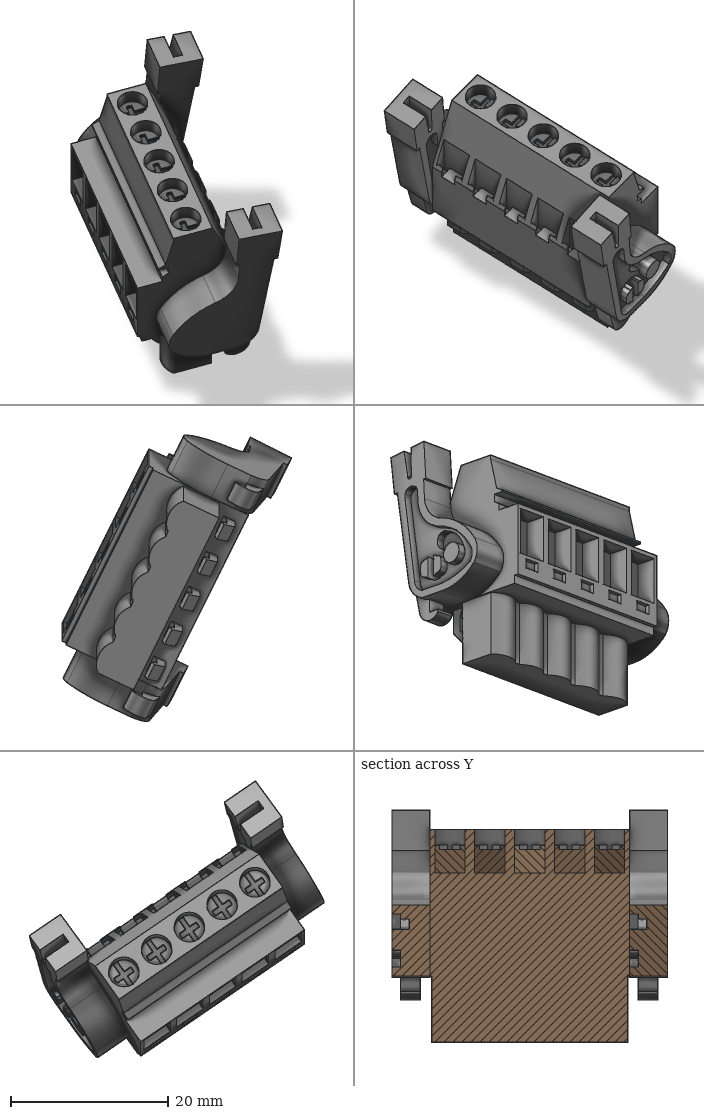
import cadquery as cq


overall_length = 35.1
lever_thickness = 4.85
pole_count = 5
housing_length = overall_length - 2 * lever_thickness
pitch = housing_length / pole_count
pole_positions = [(i - (pole_count - 1) / 2) * pitch for i in range(pole_count)]

housing_bottom = 8.4
housing_top = 27.1
housing_back = 14.1
toe_setback = 0.6
toe_top = 9.5
shelf_top = 19.15
shelf_depth = 3.37
groove_depth = 4.2
groove_bottom = 20.55
groove_chamfer = 0.53
lip_front = 2.85
lip_bottom = 21.55
lip_edge_top = 21.8
lip_root = (3.8, 22.3)
tower_front = 4.85
tower_edge_bottom = 26.5
tower_back = 10.1
back_slope_bottom = 17.35

plug_length = 24.95
plug_back = 10.05
plug_front = 5.0
bulge_gap = 0.75
bulge_rise = 0.9

wire_width = 4.15
wire_bottom = 12.5
wire_top = 18.6
wire_depth = 2.85
test_width = 2.18
test_bottom = 10.75
test_top = 12.0
test_depth = 0.6

pocket_width = 4.15
pocket_front = 12.35
pocket_back = 13.83
pocket_floor = 15.45
tab_width = 2.1
tab_top = 16.5

screw_y = 7.4
screw_diameter = 3.85
screw_recess = 2.0
screw_length = 3.5
screw_top = housing_top - screw_recess
long_slot_width = 0.63
short_slot_width = 0.75
short_slot_length = 2.7
drive_depth = 0.53

recess_depth = 1.1
head_slot_depth = 3.6
latch_offset = 1.1
latch_width = 2.53
hub_center = (10.78, 12.1)
hub_radius = 1.5
hub_length = 3.65
hub_height = 2.4
hub_corner = 0.85
hub_slot_width = 1.02
hub_slot_depth = 2.18
stop_center = (7.15, 13.05)
stop_radius = 1.37
curved_slot_center = (9.48, 15.72)
curved_slot_radius = 1.2
curved_slot_depth = 2.18


def block(x_range, y_range, z_range):
    """Box between two limits on each axis."""
    lows, highs = zip(x_range, y_range, z_range)
    sizes = [high - low for low, high in zip(lows, highs)]
    return cq.Workplane("XY").box(*sizes, centered=False).translate(lows)


def centered(middle, width):
    """Limits of a span of the given width around its middle."""
    return middle - width / 2, middle + width / 2


def side_plane(x):
    """Plane across X whose local axes are Y and Z; extruding goes toward +X."""
    return cq.Workplane("YZ", origin=(x, 0, 0))


def housing_shell():
    profile = [
        (toe_setback, housing_bottom),
        (toe_setback, toe_top),
        (0, toe_top),
        (0, shelf_top),
        (shelf_depth, shelf_top),
        (shelf_depth, groove_bottom - groove_chamfer),
        (groove_depth, groove_bottom),
        (groove_depth, lip_bottom),
        (lip_front, lip_bottom),
        (lip_front, lip_edge_top),
        lip_root,
        (tower_front, tower_edge_bottom),
        (tower_front, housing_top),
        (tower_back, housing_top),
        (housing_back, back_slope_bottom),
        (housing_back, housing_bottom),
    ]
    return side_plane(-housing_length / 2).polyline(profile).close().extrude(housing_length)


def plug():
    """Block below the housing whose front bulges out once per pole, out to both ends."""
    gap_middles = [x + pitch / 2 for x in pole_positions[:-1]]
    bulge_starts = [-plug_length / 2] + [x + bulge_gap / 2 for x in gap_middles]
    bulge_ends = [x - bulge_gap / 2 for x in gap_middles] + [plug_length / 2]
    outline = cq.Workplane("XY").moveTo(-plug_length / 2, plug_back)
    for start, end in zip(bulge_starts, bulge_ends):
        crest = ((start + end) / 2, plug_front - bulge_rise)
        outline = outline.lineTo(start, plug_front).threePointArc(crest, (end, plug_front))
    outline = outline.lineTo(plug_length / 2, plug_back).close()
    return outline.extrude(housing_bottom)


def front_openings(x):
    wire_entry = block(centered(x, wire_width), (0, wire_depth), (wire_bottom, wire_top))
    test_entry = block(centered(x, test_width), (0, test_depth), (test_bottom, test_top))
    return wire_entry.union(test_entry)


def back_pocket(x):
    """Pocket in the back slope with a tab standing in its middle."""
    pocket = block(centered(x, pocket_width), (pocket_front, pocket_back), (pocket_floor, housing_top))
    tab_column = block(centered(x, tab_width), (pocket_front, housing_back), (pocket_floor, housing_top))
    tab_clearance = block(centered(x, tab_width), (pocket_front, housing_back), (tab_top, housing_top))
    return pocket.cut(tab_column).union(tab_clearance)


def snap_hook(x):
    """Hook that hangs below the housing behind the plug."""
    profile = [
        (12.88, housing_bottom),
        (12.88, 5.23),
        (11.37, 3.65),
        (11.02, 4.65),
        (11.75, 5.37),
        (11.75, 7.2),
        (11.3, housing_bottom),
    ]
    return side_plane(x - tab_width / 2).polyline(profile).close().extrude(tab_width)


def screw_cylinder(x, bottom, top, diameter=screw_diameter):
    axis = cq.Workplane("XY", origin=(x, screw_y, bottom))
    return axis.circle(diameter / 2).extrude(top - bottom)


def make_housing():
    body = housing_shell().union(plug())
    for x in pole_positions:
        body = body.union(snap_hook(x))
        body = body.cut(front_openings(x)).cut(back_pocket(x))
        body = body.cut(screw_cylinder(x, screw_top - screw_length, housing_top))
    return body


def make_screw(x):
    """Plain cylinder with a cross drive: one slot right across, the other with round ends."""
    drive_bottom = screw_top - drive_depth
    drive_z = (drive_bottom, screw_top)
    long_slot = block(
        centered(x, long_slot_width), centered(screw_y, screw_diameter), drive_z
    )
    short_slot = block(
        centered(x, short_slot_length), centered(screw_y, short_slot_width), drive_z
    ).intersect(screw_cylinder(x, drive_bottom, screw_top, short_slot_length))
    screw = screw_cylinder(x, screw_top - screw_length, screw_top)
    return screw.cut(long_slot).cut(short_slot)


def lever_plate(x):
    """Grip head, arm and rounded foot in one outline."""
    return (
        side_plane(x)
        .moveTo(17.85, 28.9)
        .lineTo(12.0, 29.55)
        .lineTo(11.65, 24.4)
        .lineTo(12.05, 24.4)
        .lineTo(11.9, 21.7)
        .threePointArc((10.95, 19.48), (8.8, 18.2))
        .threePointArc((5.35, 16.45), (3.1, 14.0))
        .threePointArc((2.55, 12.2), (3.1, 10.65))
        .threePointArc((5.6, 8.88), (8.8, 8.25))
        .lineTo(12.1, 8.25)
        .threePointArc((13.75, 9.1), (14.7, 10.95))
        .lineTo(16.7, 23.75)
        .lineTo(17.25, 23.75)
        .close()
        .extrude(lever_thickness)
    )


def lever_recess(x):
    """Shallow recess in the -X face that follows the outline."""
    return (
        side_plane(x)
        .moveTo(15.37, 22.85)
        .threePointArc((14.25, 24.0), (13.13, 22.85))
        .lineTo(13.05, 21.9)
        .threePointArc((11.9, 18.8), (9.23, 17.25))
        .threePointArc((5.93, 15.55), (3.7, 12.9))
        .threePointArc((3.45, 12.0), (3.85, 10.9))
        .threePointArc((5.95, 9.9), (8.9, 9.25))
        .lineTo(12.2, 9.25)
        .threePointArc((13.25, 9.85), (13.65, 10.95))
        .close()
        .extrude(recess_depth)
    )


def head_slot(x):
    """Tapered slot down from the top of the grip head, open on the -X face."""
    return (
        side_plane(x)
        .moveTo(15.6, 29.55)
        .lineTo(14.85, 25.52)
        .threePointArc((14.53, 25.1), (14.2, 25.52))
        .lineTo(14.3, 29.55)
        .close()
        .extrude(head_slot_depth)
    )


def lever_hub(x):
    """Pivot hub on the floor of the recess, level with the -X face."""
    bar = (
        side_plane(x)
        .center(*hub_center)
        .rect(hub_length, hub_height)
        .extrude(recess_depth)
        .edges("|X")
        .fillet(hub_corner)
    )
    disc = side_plane(x).center(*hub_center).circle(hub_radius).extrude(recess_depth)
    return bar.union(disc)


def lever_hub_slot(x):
    """Upright slot across the hub, deeper than the recess, with ends that follow the disc."""
    disc = side_plane(x).center(*hub_center).circle(hub_radius).extrude(hub_slot_depth)
    strip = (
        side_plane(x)
        .center(*hub_center)
        .rect(hub_slot_width, 2 * hub_radius)
        .extrude(hub_slot_depth)
    )
    return strip.intersect(disc)


def lever_stop(x):
    """Round stop standing at the end of the curved slot."""
    return side_plane(x).center(*stop_center).circle(stop_radius).extrude(curved_slot_depth)


def lever_curved_slot(x):
    """Slot sunk below the recess that narrows along an arc toward the stop."""
    round_end = side_plane(x).center(*curved_slot_center).circle(curved_slot_radius)
    channel = (
        side_plane(x)
        .moveTo(8.8, 16.75)
        .threePointArc((7.13, 15.72), (5.85, 13.55))
        .lineTo(*stop_center)
        .lineTo(8.4, 13.37)
        .lineTo(10.15, 14.78)
        .lineTo(*curved_slot_center)
        .close()
    )
    return round_end.extrude(curved_slot_depth).union(channel.extrude(curved_slot_depth))


def lever_latch(x):
    """Hooked latch under the foot."""
    return (
        side_plane(x + latch_offset)
        .moveTo(14.53, 10.05)
        .lineTo(13.8, 6.75)
        .threePointArc((12.32, 5.4), (10.53, 6.18))
        .lineTo(10.5, 6.5)
        .lineTo(12.0, 6.5)
        .lineTo(12.1, 10.05)
        .close()
        .extrude(latch_width)
    )


def make_lever(x):
    """Lever whose -X face lies at x."""
    body = lever_plate(x).cut(lever_recess(x)).cut(head_slot(x))
    body = body.union(lever_hub(x)).cut(lever_hub_slot(x))
    body = body.cut(lever_curved_slot(x)).union(lever_stop(x))
    return body.union(lever_latch(x))


housing = make_housing()
screws = [make_screw(x) for x in pole_positions]
levers = [make_lever(x) for x in (-overall_length / 2, housing_length / 2)]

result = cq.Compound.makeCompound(
    [housing.val()] + [screw.val() for screw in screws] + [lever.val() for lever in levers]
)